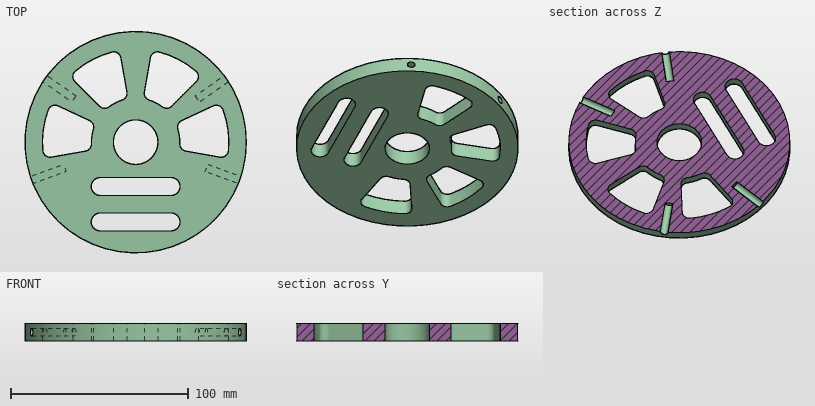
import cadquery as cq
import math

disc_diameter = 125.0
disc_thickness = 10.0
disc_radius = disc_diameter / 2
bore_diameter = 25.0

window_inner_radius = 25.0
window_outer_radius = 52.5
window_span = 35.0
spoke_span = 20.0
window_pitch = window_span + spoke_span
window_count = 4
window_corner_radius = 4.0
top_angle = 90.0

slot_length = 50.0
slot_width = 10.0
slot_positions_y = (-25.0, -45.0)

rim_hole_diameter = 4.2
rim_hole_depth = 20.0
rim_hole_angles = (35.0, 145.0, 200.0, 340.0)


def polar_point(radius, angle):
    """Point in the XY plane at a radius and an angle in degrees."""
    return radius * math.cos(math.radians(angle)), radius * math.sin(math.radians(angle))


def make_disc():
    """Plain disc standing on Z = 0 with a central bore."""
    return (
        cq.Workplane("XY")
        .circle(disc_radius)
        .circle(bore_diameter / 2)
        .extrude(disc_thickness)
    )


def make_window(middle_angle):
    """Cutter for one annular sector with rounded corners."""
    start_angle = middle_angle - window_span / 2
    end_angle = middle_angle + window_span / 2
    return (
        cq.Workplane("XY")
        .moveTo(*polar_point(window_inner_radius, start_angle))
        .lineTo(*polar_point(window_outer_radius, start_angle))
        .threePointArc(
            polar_point(window_outer_radius, middle_angle),
            polar_point(window_outer_radius, end_angle),
        )
        .lineTo(*polar_point(window_inner_radius, end_angle))
        .threePointArc(
            polar_point(window_inner_radius, middle_angle),
            polar_point(window_inner_radius, start_angle),
        )
        .close()
        .extrude(disc_thickness)
        .edges("|Z")
        .fillet(window_corner_radius)
    )


def make_slot(position_y):
    """Cutter for one round-ended slot running along X."""
    return (
        cq.Workplane("XY")
        .center(0, position_y)
        .slot2D(slot_length, slot_width)
        .extrude(disc_thickness)
    )


def make_rim_hole(angle):
    """Cutter for one blind hole drilled from the rim towards the centre."""
    bottom_x, bottom_y = polar_point(disc_radius - rim_hole_depth, angle)
    outward = cq.Vector(*polar_point(1, angle), 0)
    bottom = cq.Vector(bottom_x, bottom_y, disc_thickness / 2)
    return cq.Solid.makeCylinder(rim_hole_diameter / 2, rim_hole_depth, bottom, outward)


result = make_disc()

first_window_angle = top_angle - window_pitch * (window_count - 1) / 2
for index in range(window_count):
    result = result.cut(make_window(first_window_angle + index * window_pitch))

for slot_y in slot_positions_y:
    result = result.cut(make_slot(slot_y))

for hole_angle in rim_hole_angles:
    result = result.cut(make_rim_hole(hole_angle))